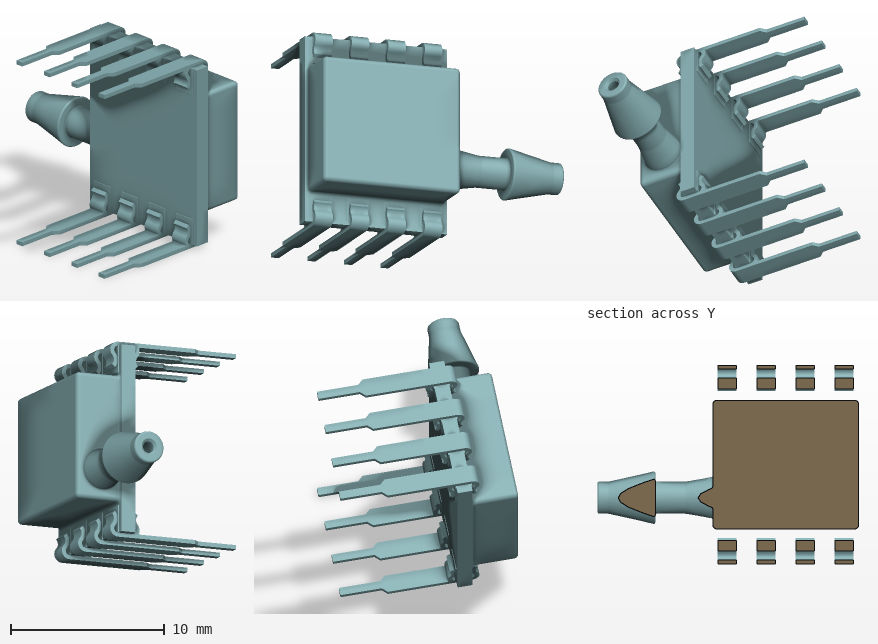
import cadquery as cq
import math


overall_length = 17.2

board_width = 9.9
board_height = 12.45
board_thickness = 1.0
pad_width = 1.51
pad_height = 1.8
pad_thickness = 0.05

cover_width = 9.51
cover_height = 8.4
cover_depth = 3.1
cover_edge_radius = 0.28
cover_foot_radius = 0.17

port_axis_y = 2.3
port_axis_z = -2.17
port_length = overall_length - board_width / 2 - cover_width / 2
port_radius = 1.05
port_tip_fillet = 0.14
barb_radius = 1.74
barb_start = 0.72
barb_end = 3.77
barb_rim_fillet = 0.1
neck_fillet = 0.07
flare_start = 5.75
flare_radius = 1.35
port_root_fillet = 0.09
bore_radius = 0.38
bore_chamfer = 0.17

leads_per_row = 4
lead_row_span = 7.62
lead_pitch = lead_row_span / (leads_per_row - 1)
lead_thickness = 0.28
lead_width = 1.22
lead_tip_width = 0.55
lead_reach = 7.6
taper_start = 4.52
taper_end = 4.87

bend_inner_radius = 0.28
wave_inner_radius = 0.43
wave_press = 0.03
clip_tip_angle = 225
clip_root_fillet = 0.07

port_tip_x = board_width / 2 - overall_length
board_top = board_height / 2
lead_centres = [i * lead_pitch - lead_row_span / 2 for i in range(leads_per_row)]


def make_housing():
    """Board with the rounded cover behind it and a fillet round the cover's foot."""
    board = cq.Workplane("XY").box(
        board_width, board_thickness, board_height, centered=(True, False, True)
    )
    cover = (
        cq.Workplane("XY")
        .box(cover_width, cover_depth, cover_height, centered=(True, False, True))
        .translate((0, board_thickness, 0))
        .edges("|Y or >Y")
        .fillet(cover_edge_radius)
    )
    margin = 0.02
    foot_edges = cq.selectors.BoxSelector(
        (-cover_width / 2 - margin, board_thickness - margin, -cover_height / 2 - margin),
        (cover_width / 2 + margin, board_thickness + margin, cover_height / 2 + margin),
    )
    return board.union(cover).edges(foot_edges).fillet(cover_foot_radius)


def make_port():
    """Barbed port turned about its own X axis, ending inside the cover wall."""
    inner_end = port_length + cover_edge_radius
    flare_end = port_length - port_root_fillet
    root_radius = flare_radius + port_root_fillet
    root_middle = port_root_fillet * math.sqrt(0.5)
    port = (
        cq.Workplane("XY")
        .lineTo(0, port_radius)
        .lineTo(barb_start, port_radius)
        .lineTo(barb_end, barb_radius)
        .lineTo(barb_end, port_radius)
        .lineTo(flare_start, port_radius)
        .lineTo(flare_end, flare_radius)
        .threePointArc(
            (flare_end + root_middle, root_radius - root_middle),
            (port_length, root_radius),
        )
        .lineTo(inner_end, root_radius)
        .lineTo(inner_end, 0)
        .close()
        .revolve(360, (0, 0, 0), (1, 0, 0))
    )

    port = port.faces("<X").edges().fillet(port_tip_fillet)
    barb_back = port.faces(cq.selectors.NearestToPointSelector((barb_end, 0, 0)))
    port = barb_back.edges(cq.selectors.RadiusNthSelector(1)).fillet(barb_rim_fillet)
    barb_back = port.faces(cq.selectors.NearestToPointSelector((barb_end, 0, 0)))
    port = barb_back.edges(cq.selectors.RadiusNthSelector(0)).fillet(neck_fillet)

    bore = cq.Workplane("YZ").circle(bore_radius).extrude(port_length)
    mouth = cq.Workplane("YZ").circle(bore_radius + bore_chamfer)
    mouth = mouth.workplane(offset=bore_chamfer).circle(bore_radius).loft()
    return port.cut(bore).cut(mouth).translate((port_tip_x, port_axis_y, port_axis_z))


def polar(centre, radius, angle):
    """Point at an angle in degrees on a circle."""
    turn = math.radians(angle)
    return (centre[0] + radius * math.cos(turn), centre[1] + radius * math.sin(turn))


def make_clip(face_y, outward):
    """S-shaped clip on the board face at face_y; outward is +1 or -1 along Y."""
    bend_outer_radius = bend_inner_radius + lead_thickness
    wave_outer_radius = wave_inner_radius + lead_thickness

    bend = (0, board_top - bend_inner_radius)
    wave_offset = pad_thickness - wave_press + wave_outer_radius
    centre_distance = bend_outer_radius + wave_inner_radius
    joint_angle = -math.degrees(math.acos(wave_offset / centre_distance))
    wave = polar(bend, centre_distance, joint_angle)

    bend_middle = (90 + joint_angle) / 2
    wave_middle = (180 + joint_angle + clip_tip_angle) / 2

    def at(point):
        return (face_y + outward * point[0], point[1])

    return (
        cq.Workplane("YZ")
        .moveTo(*at((0, board_top + lead_thickness)))
        .threePointArc(
            at(polar(bend, bend_outer_radius, bend_middle)),
            at(polar(bend, bend_outer_radius, joint_angle)),
        )
        .threePointArc(
            at(polar(wave, wave_inner_radius, wave_middle)),
            at(polar(wave, wave_inner_radius, clip_tip_angle)),
        )
        .lineTo(*at(polar(wave, wave_outer_radius, clip_tip_angle)))
        .threePointArc(
            at(polar(wave, wave_outer_radius, wave_middle)),
            at(polar(bend, bend_inner_radius, joint_angle)),
        )
        .threePointArc(
            at(polar(bend, bend_inner_radius, bend_middle)),
            at((0, board_top)),
        )
        .close()
        .extrude(lead_width / 2, both=True)
    )


def make_lead():
    """One lead of the top row: tapered blade, rear clip, front clip."""
    half_width = lead_width / 2
    half_tip = lead_tip_width / 2
    blade = (
        cq.Workplane("XY", origin=(0, 0, board_top))
        .polyline([
            (-half_width, board_thickness),
            (-half_width, -taper_start),
            (-half_tip, -taper_end),
            (-half_tip, -lead_reach),
            (half_tip, -lead_reach),
            (half_tip, -taper_end),
            (half_width, -taper_start),
            (half_width, board_thickness),
        ])
        .close()
        .extrude(lead_thickness)
    )
    lead = blade.union(make_clip(0, -1)).union(make_clip(board_thickness, 1))

    corner_y = -math.sqrt((bend_inner_radius + lead_thickness) ** 2 - bend_inner_radius ** 2)
    corner = cq.selectors.NearestToPointSelector((0, corner_y, board_top))
    return lead.edges(corner).fillet(clip_root_fillet)


def make_pads():
    """Front and rear contact pads of one top-row lead, joined through the board."""
    return (
        cq.Workplane("XY")
        .box(pad_width, board_thickness + 2 * pad_thickness, pad_height, centered=(True, False, False))
        .translate((0, -pad_thickness, board_top - pad_height))
    )


result = make_housing().union(make_port())
top_contact = make_pads().union(make_lead())
bottom_contact = top_contact.mirror("XY")
for centre in lead_centres:
    result = result.union(top_contact.translate((centre, 0, 0)))
    result = result.union(bottom_contact.translate((centre, 0, 0)))